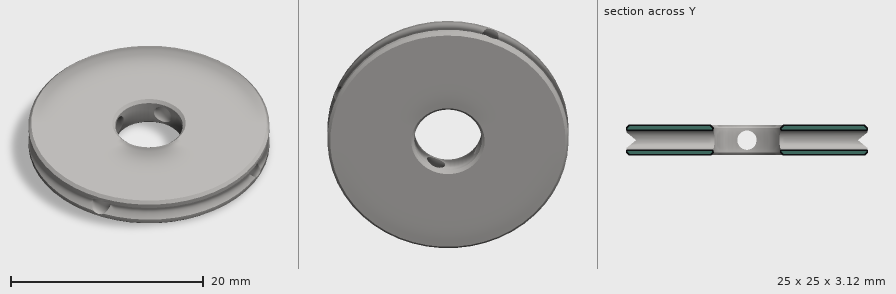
import cadquery as cq

outer_diameter = 25.0
thickness = 3.12
bore_diameter = 7.0
edge_chamfer = 0.3
groove_width = 1.6
groove_depth = 0.95
radial_hole_diameter = 2.0
radial_hole_count = 4
rim_clearance = 1.25
seam_turn = 45

outer_radius = outer_diameter / 2
bore_radius = bore_diameter / 2
half_thickness = thickness / 2
half_groove = groove_width / 2


def make_disc():
    """Revolve the half section, with chamfered edges and a V groove in the rim."""
    profile = [
        (bore_radius, -half_thickness + edge_chamfer),
        (bore_radius + edge_chamfer, -half_thickness),
        (outer_radius - edge_chamfer, -half_thickness),
        (outer_radius, -half_thickness + edge_chamfer),
        (outer_radius, -half_groove),
        (outer_radius - groove_depth, 0),
        (outer_radius, half_groove),
        (outer_radius, half_thickness - edge_chamfer),
        (outer_radius - edge_chamfer, half_thickness),
        (bore_radius + edge_chamfer, half_thickness),
        (bore_radius, half_thickness - edge_chamfer),
    ]
    return cq.Workplane("XZ").polyline(profile).close().revolve(360, (0, 0, 0), (0, 1, 0))


def make_radial_hole(angle):
    """Cylinder from the axis out past the rim, along the given direction in the XY plane."""
    hole = cq.Workplane("YZ").circle(radial_hole_diameter / 2).extrude(outer_radius + rim_clearance)
    hole = hole.rotate((0, 0, 0), (1, 0, 0), seam_turn)
    return hole.rotate((0, 0, 0), (0, 0, 1), angle)


result = make_disc().rotate((0, 0, 0), (0, 0, 1), seam_turn)
for index in range(radial_hole_count):
    result = result.cut(make_radial_hole(index * 360 / radial_hole_count))